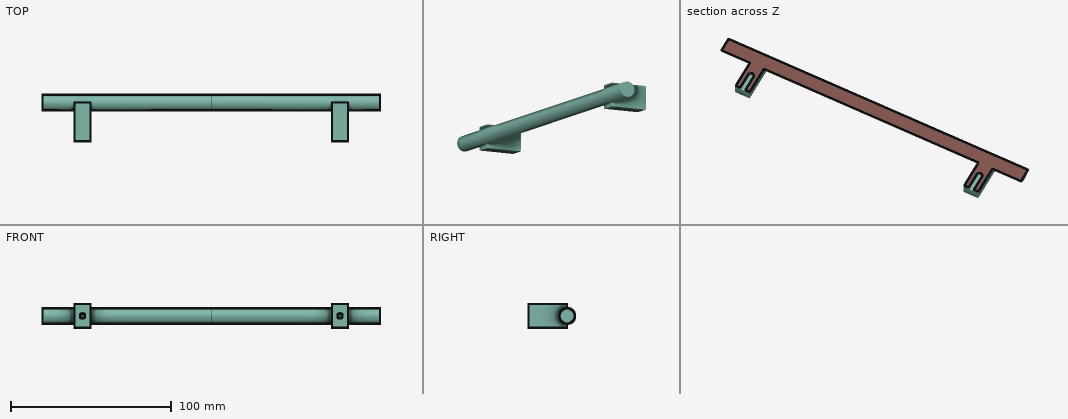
import cadquery as cq
import math

bar_length = 210.0
bar_diameter = 9.9
bar_end_chamfer = 0.2
overall_depth = 29.0
post_spacing = 160.0
post_width = 10.0
post_height = 15.0
screw_hole_diameter = 3.4
screw_hole_depth = 12.0
drill_point_angle = 118.0

post_depth = overall_depth - bar_diameter / 2


def make_bar():
    bar = cq.Workplane("YZ").circle(bar_diameter / 2).extrude(bar_length / 2, both=True)
    return bar.faces("<X or >X").edges().chamfer(bar_end_chamfer)


def make_post(x):
    return (
        cq.Workplane("XY")
        .box(post_width, post_depth, post_height)
        .translate((x, -post_depth / 2, 0))
    )


def make_screw_hole(x):
    """Blind hole with a conical drill tip, running from the mounting face toward the bar."""
    radius = screw_hole_diameter / 2
    tip_length = radius / math.tan(math.radians(drill_point_angle / 2))
    return (
        cq.Workplane("XY", origin=(x, -post_depth, 0))
        .lineTo(radius, 0)
        .lineTo(radius, screw_hole_depth)
        .lineTo(0, screw_hole_depth + tip_length)
        .close()
        .revolve(360, (0, 0, 0), (0, 1, 0))
    )


result = make_bar()
for side in (-1, 1):
    post_x = side * post_spacing / 2
    result = result.union(make_post(post_x)).cut(make_screw_hole(post_x))